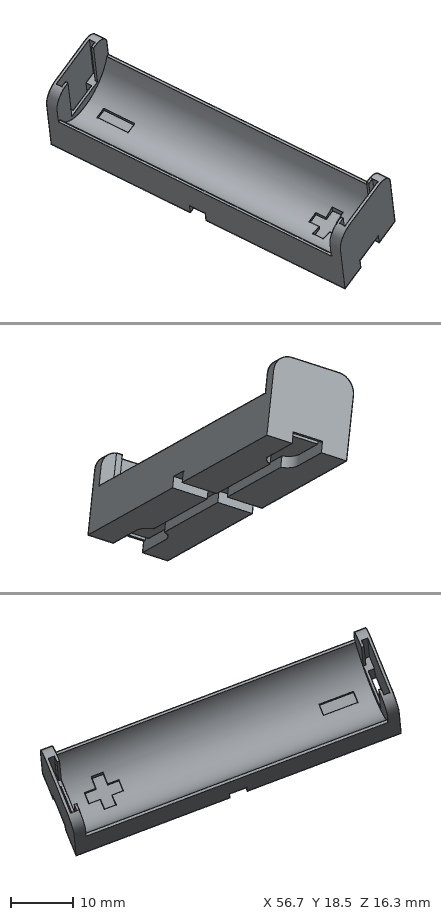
import cadquery as cq

LENGTH = 56.0
WIDTH = 15.03
HEIGHT = 14.55
SIDE_HEIGHT = 8.0
CORNER_RADIUS = 3.1

TILT_X = 6.1
TILT_Y = -0.52
TILT_Z = -2.4

END_WALL = 2.0
BAY_LENGTH = LENGTH - 2 * END_WALL
CELL_RADIUS = 7.4
CELL_FLOOR = 2.9
CELL_AXIS_Z = CELL_FLOOR + CELL_RADIUS

OUTER_SKIN = 0.5
SLOT_THICKNESS = 1.05
SLOT_WIDTH = 9.9
SLOT_FLOOR = 4.8
SLOT_X = LENGTH / 2 - OUTER_SKIN - SLOT_THICKNESS / 2
WINDOW_WIDTH = 7.7
LIP_THICKNESS = END_WALL - OUTER_SKIN - SLOT_THICKNESS
LIP_WIDTH = (SLOT_WIDTH - WINDOW_WIDTH) / 2
LIP_X = BAY_LENGTH / 2 + LIP_THICKNESS / 2

CHANNEL_DEPTH = 2.0
TAB_WIDTH = 5.5
TAB_POCKET_LENGTH = 10.0
WIRE_WIDTH = 2.0
EXIT_WIDTH = 3.0

MARK_LENGTH = 5.9
MARK_WIDTH = 2.0
MARK_FLOOR = 2.4
MARK_X = 20.2

ENDS = (-1, 1)


def block(length, width, z_low, z_high, x=0.0, y=0.0):
    """Box centred on (x, y) that reaches from z_low to z_high."""
    height = z_high - z_low
    return cq.Workplane("XY").box(length, width, height).translate((x, y, z_low + height / 2))


def tilted(solid):
    """Turn a level solid into the attitude of the holder."""
    origin = (0, 0, 0)
    turned = solid.rotate(origin, (1, 0, 0), TILT_X)
    turned = turned.rotate(origin, (0, 1, 0), TILT_Y)
    return turned.rotate(origin, (0, 0, 1), TILT_Z)


def cradle():
    """Block with rounded end walls, low sides and a round battery bed."""
    body = block(LENGTH, WIDTH, 0, HEIGHT).edges("|X and >Z").fillet(CORNER_RADIUS)
    body = body.cut(block(BAY_LENGTH, WIDTH, SIDE_HEIGHT, HEIGHT))
    cell = cq.Workplane("YZ").center(0, CELL_AXIS_Z).circle(CELL_RADIUS)
    return body.cut(cell.extrude(BAY_LENGTH / 2, both=True))


def contact_slot(end):
    """Plate slot, its window to the bay and the tab hole through the floor."""
    slot = block(SLOT_THICKNESS, SLOT_WIDTH, SLOT_FLOOR, HEIGHT, end * SLOT_X)
    window = block(LIP_THICKNESS, WINDOW_WIDTH, SLOT_FLOOR, HEIGHT, end * LIP_X)
    tab_hole = block(SLOT_THICKNESS, TAB_WIDTH, 0, SLOT_FLOOR, end * SLOT_X)
    return slot.union(window).union(tab_hole)


def tab_pocket(end):
    """Round-ended pocket in the underside, open through the end face."""
    outline = cq.Workplane("XY").center(end * LENGTH / 2, 0).slot2D(2 * TAB_POCKET_LENGTH, TAB_WIDTH)
    return outline.extrude(CHANNEL_DEPTH)


def wire_channels():
    """Lengthwise wire channel crossed by the exit channel."""
    along = block(LENGTH, WIRE_WIDTH, 0, CHANNEL_DEPTH)
    across = block(EXIT_WIDTH, WIDTH, 0, CHANNEL_DEPTH)
    return along.union(across)


def polarity_marks():
    """Minus at the -X end and plus at the +X end."""
    marks = block(MARK_WIDTH, MARK_LENGTH, MARK_FLOOR, CELL_AXIS_Z, MARK_X)
    for end in ENDS:
        marks = marks.add(block(MARK_LENGTH, MARK_WIDTH, MARK_FLOOR, CELL_AXIS_Z, end * MARK_X))
    return marks.combine()


def complete_holder():
    """Holder with the separate lip strip still in one piece with it."""
    body = cradle()
    for end in ENDS:
        body = body.cut(contact_slot(end)).cut(tab_pocket(end))
    return body.cut(wire_channels()).cut(polarity_marks())


lip_y = (SLOT_WIDTH - LIP_WIDTH) / 2
lip_space = block(LIP_THICKNESS, LIP_WIDTH, SLOT_FLOOR, HEIGHT, LIP_X, lip_y)

whole = complete_holder()
holder = tilted(whole.cut(lip_space))
retaining_lip = tilted(whole.intersect(lip_space))

result = cq.Compound.makeCompound([holder.solids().val(), retaining_lip.solids().val()])